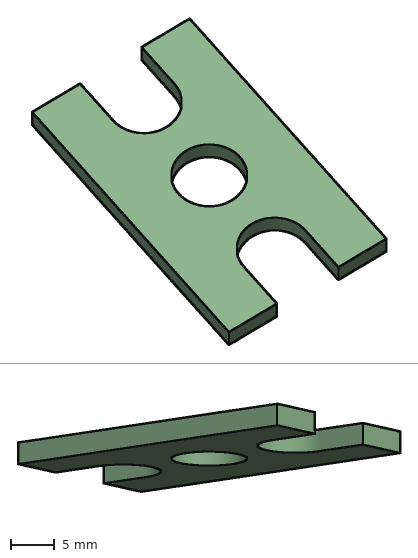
import cadquery as cq

length = 38.1
width = 22.2
thickness = 2.5

hole_diameter = 8.65
slot_depth = 10.7

plate = cq.Workplane("XY").box(length, width, thickness)


def end_slot(side):
    """Round-bottomed slot open at one end of the plate; side is -1 or +1 along X."""
    return (
        cq.Workplane("XY")
        .center(side * length / 2, 0)
        .slot2D(2 * slot_depth, hole_diameter)
        .extrude(thickness, both=True)
    )


result = plate.faces(">Z").workplane().hole(hole_diameter)
for side in (-1, 1):
    result = result.cut(end_slot(side))